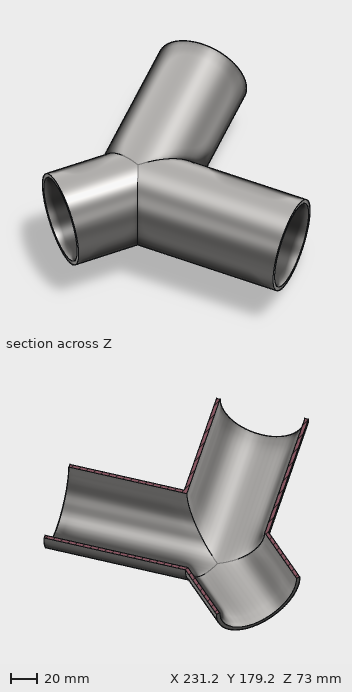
import cadquery as cq
import math

overall_width = 231.2
overall_depth = 179.2
outer_diameter = 73.0
bore_diameter = 66.8
branch_angle = 45.0

outer_radius = outer_diameter / 2
sin_branch = math.sin(math.radians(branch_angle))
cos_branch = math.cos(math.radians(branch_angle))

branch_length = (overall_width / 2 - outer_radius * cos_branch) / sin_branch
rear_extent = branch_length * cos_branch + outer_radius * sin_branch
stem_length = overall_depth - rear_extent

legs = [
    (stem_length, cq.Vector(0, -1, 0)),
    (branch_length, cq.Vector(-sin_branch, cos_branch, 0)),
    (branch_length, cq.Vector(sin_branch, cos_branch, 0)),
]


def joined_cylinders(diameter):
    """Union of one cylinder per leg, each running outward from the origin."""
    cylinders = []
    for length, direction in legs:
        cylinder = cq.Solid.makeCylinder(diameter / 2, length, cq.Vector(0, 0, 0), direction)
        cylinders.append(cylinder)
    return cq.Workplane(cylinders[0].fuse(*cylinders[1:]))


result = joined_cylinders(outer_diameter).cut(joined_cylinders(bore_diameter))